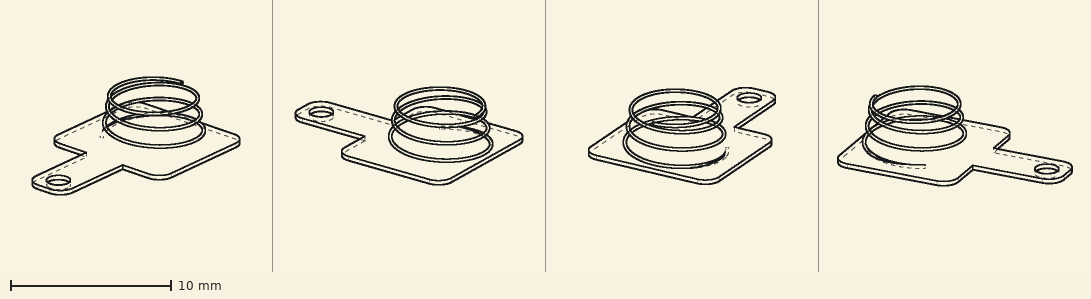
import cadquery as cq
import math

plate_thickness = 0.3
head_width = 9.3
head_length = 8.2
plate_length = 14.0
tab_width = 3.0
corner_radius = 1.0
eyelet_diameter = 1.5
eyelet_to_tab_end = 1.4
spring_axis_to_head_end = 3.5

wire_diameter = 0.2
wire_radius = wire_diameter / 2
spring_top = 3.1
bottom_coil_radius = 3.25
top_coil_radius = 2.75
coil_pitch = 1.1
flat_top_turns = 0.74
ease_turns = 0.25
start_cover = 0.05
path_samples_per_turn = 24

bottom_center_height = wire_radius
top_center_height = spring_top - wire_radius
center_rise = top_center_height - bottom_center_height
climb_turns = center_rise / coil_pitch
path_end = climb_turns + flat_top_turns

start_rise = plate_thickness - start_cover - wire_diameter
path_start = math.sqrt(2 * ease_turns * start_rise / coil_pitch) - ease_turns / 2

head_end_y = spring_axis_to_head_end
shoulder_y = head_end_y - head_length
tab_end_y = head_end_y - plate_length


def eased_ramp(turns):
    """Zero before the ramp, equal to `turns` after it, with a parabola joining the two."""
    half_ease = ease_turns / 2
    if turns <= -half_ease:
        return 0.0
    if turns >= half_ease:
        return turns
    return (turns + half_ease) ** 2 / (2 * ease_turns)


def center_height(turns):
    """Height of the wire centre line, `turns` after the climb begins."""
    if turns < climb_turns / 2:
        return bottom_center_height + coil_pitch * eased_ramp(turns)
    return top_center_height - coil_pitch * eased_ramp(climb_turns - turns)


def wire_center(turns):
    """Point on the wire centre line: it climbs clockwise on a cone and ends at +Y."""
    height = center_height(turns)
    taper = (bottom_coil_radius - top_coil_radius) / center_rise
    radius = top_coil_radius + taper * (top_center_height - height)
    angle = math.pi / 2 + 2 * math.pi * (path_end - turns)
    return cq.Vector(radius * math.cos(angle), radius * math.sin(angle), height)


def make_spring():
    """Round wire swept along the conical coil."""
    intervals = math.ceil((path_end - path_start) * path_samples_per_turn)
    step = (path_end - path_start) / intervals
    path = cq.Edge.makeSpline([wire_center(path_start + i * step) for i in range(intervals + 1)])
    section_plane = cq.Plane(origin=path.startPoint(), xDir=(0, 0, 1), normal=path.tangentAt(0))
    section = cq.Workplane(section_plane).circle(wire_radius)
    return section.sweep(cq.Workplane(obj=cq.Wire.assembleEdges([path])), isFrenet=True)


def make_plate():
    """Head and tab with rounded outer corners, and the eyelet through the tab."""
    head = (
        cq.Workplane()
        .center(0, (head_end_y + shoulder_y) / 2)
        .rect(head_width, head_length)
        .extrude(plate_thickness)
        .edges("|Z")
        .fillet(corner_radius)
    )
    tab = (
        cq.Workplane()
        .center(0, (shoulder_y + tab_end_y) / 2)
        .rect(tab_width, shoulder_y - tab_end_y)
        .extrude(plate_thickness)
        .edges("|Z and <Y")
        .fillet(corner_radius)
    )
    eyelet = (
        cq.Workplane()
        .center(0, tab_end_y + eyelet_to_tab_end)
        .circle(eyelet_diameter / 2)
        .extrude(plate_thickness)
    )
    return head.union(tab).cut(eyelet)


spring = make_spring()

plate = make_plate().cut(spring)

result = cq.Compound.makeCompound([plate.solids().val(), spring.val()])